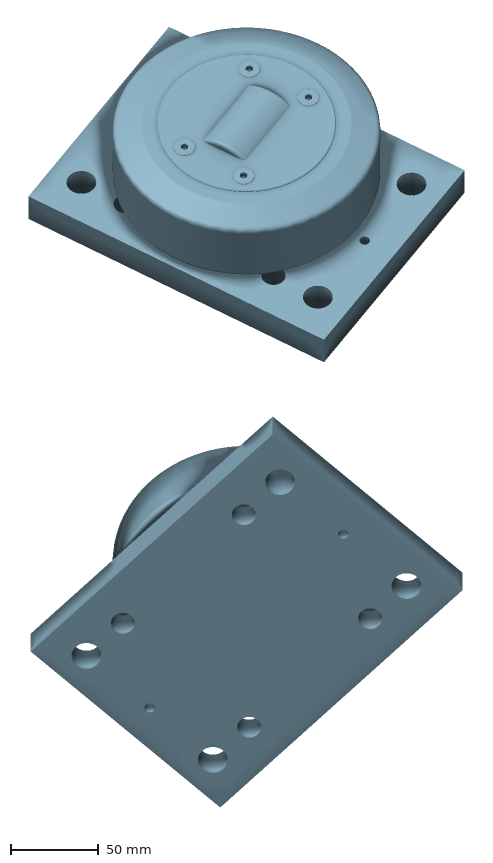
import cadquery as cq

plate_length = 200
plate_width = 150
plate_height = 20
corner_hole_diameter = 17.0
corner_hole_spacing = (160, 100)
inner_hole_diameter = 13.8
inner_hole_spacing = 100
pin_hole_diameter = 6
pin_hole_spacing = 160

neck_diameter = 103.0
drum_diameter = 153.0
drum_bottom = 28
drum_top = 73.0
drum_rounding = 3.0
shoulder_height = 68.5
top_face_diameter = 120

disc_diameter = 102.5
disc_top = 73.8
disc_chamfer = 0.5

screw_diameter = 12.5
screw_top = 74.5
screw_chamfer = 0.5
screw_spacing = (40, 69.2)
socket_corner_diameter = 4.8
socket_depth = 3.0

side_roller_radius = 25.0
side_roller_length = 50
side_roller_rounding = 2
overall_height = 78.5


def make_plate():
    plate = cq.Workplane("XY").box(plate_length, plate_width, plate_height, centered=(True, True, False))
    top = plate.faces(">Z").workplane()
    plate = top.rarray(*corner_hole_spacing, 2, 2).hole(corner_hole_diameter)
    top = plate.faces(">Z").workplane()
    plate = top.rarray(inner_hole_spacing, inner_hole_spacing, 2, 2).hole(inner_hole_diameter)
    top = plate.faces(">Z").workplane()
    return top.rarray(pin_hole_spacing, 2, 2, 1).hole(pin_hole_diameter)


def make_drum():
    drum_radius = drum_diameter / 2
    profile = (
        cq.Workplane("XZ")
        .moveTo(0, drum_bottom)
        .lineTo(drum_radius, drum_bottom)
        .lineTo(drum_radius, shoulder_height)
        .lineTo(top_face_diameter / 2, drum_top)
        .lineTo(0, drum_top)
        .close()
    )
    drum = profile.revolve(360, (0, 0), (0, 1))
    outer_edges = cq.selectors.BoxSelector(
        (-drum_diameter, -drum_diameter, drum_bottom - 2),
        (drum_diameter, drum_diameter, shoulder_height + 2),
    )
    return drum.edges("%CIRCLE").edges(outer_edges).fillet(drum_rounding)


def make_neck_and_disc():
    neck_height = drum_bottom - plate_height
    disc_height = disc_top - drum_bottom
    neck = cq.Workplane("XY", origin=(0, 0, plate_height)).circle(neck_diameter / 2).extrude(neck_height)
    disc = cq.Workplane("XY", origin=(0, 0, drum_bottom)).circle(disc_diameter / 2).extrude(disc_height)
    return neck.union(disc.faces(">Z").chamfer(disc_chamfer))


def make_side_roller():
    roller = (
        cq.Workplane("XZ", origin=(0, 0, overall_height - side_roller_radius))
        .circle(side_roller_radius)
        .extrude(side_roller_length / 2, both=True)
        .edges()
        .fillet(side_roller_rounding)
    )
    cap_region = cq.Workplane("XY", origin=(0, 0, drum_top)).rect(plate_length, plate_width).extrude(drum_top)
    return roller.intersect(cap_region)


def make_screw_heads():
    return (
        cq.Workplane("XY", origin=(0, 0, drum_top))
        .rarray(*screw_spacing, 2, 2)
        .circle(screw_diameter / 2)
        .extrude(screw_top - drum_top)
        .faces(">Z")
        .chamfer(screw_chamfer)
    )


def make_sockets():
    return (
        cq.Workplane("XY", origin=(0, 0, screw_top))
        .rarray(*screw_spacing, 2, 2)
        .polygon(6, socket_corner_diameter)
        .extrude(-socket_depth)
    )


result = (
    make_plate()
    .union(make_neck_and_disc())
    .union(make_drum())
    .union(make_side_roller())
    .union(make_screw_heads())
    .cut(make_sockets())
)